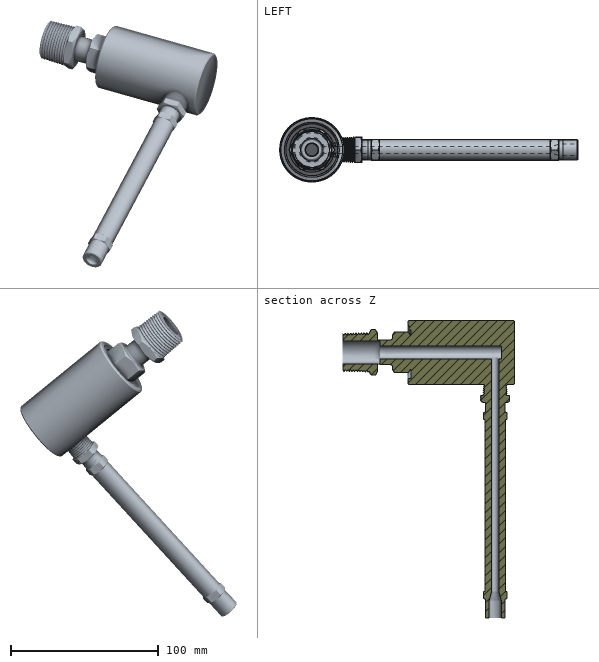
import cadquery as cq
import math


body_diameter = 43.7
total_length = 116.67
inlet_length = 44.0
body_length = total_length - inlet_length
body_chamfer = 0.9

recess_diameter = 35.08
recess_mouth_diameter = 37.25
recess_depth = 2.0
ring_thickness = 1.2
ring_inner_diameter = 30.2
ring_gap = 4.4
lug_radius = 2.0
lug_hole_diameter = 1.98
lug_y = -15.4
lug_z = 3.85

inlet_thread_length = 17.8
inlet_hex_end = 23.7
neck_end = 33.6
inlet_thread_diameter = 27.5
inlet_thread_pitch = 1.814
inlet_hex_flats = 27.0
neck_diameter = 17.0
neck_fillet = 1.4
shaft_hex_flats = 24.0
inlet_counterbore_diameter = 15.31
inlet_counterbore_depth = 25.0
inlet_bore_diameter = 8.5
inlet_bore_chamfer = 0.35

branch_x = 59.4
total_width = 202.19
branch_end = total_width - body_diameter / 2
branch_start = 18.0
branch_hex_start = 29.1
branch_hex_end = 34.0
upper_seam = 38.2
upper_tube_hex_start = 40.2
upper_tube_hex_end = 45.9
lower_tube_hex_start = 161.6
lower_tube_hex_end = 167.4
lower_seam = 170.2
branch_thread_diameter = 17.1
branch_thread_pitch = 1.411
branch_hex_flats = 17.3
stub_diameter = 13.72
stub_thread_diameter = 13.89
stub_chamfer = 0.5
tube_diameter = 14.3
tube_hex_flats = 14.3
branch_mouth_diameter = 8.0
branch_mouth_depth = 12.0
branch_cone_length = 6.0
branch_bore_diameter = 4.7

hex_chamfer_angle = 30.0
hex_face_ratio = 0.97

thread_taper_angle = math.degrees(math.atan(1 / 32))
thread_depth_ratio = 0.7
thread_root_overlap = 0.1
thread_half_width_ratio = 0.46

to_x_axis = cq.Plane(origin=(-inlet_length, 0, 0), xDir=(0, 1, 0), normal=(1, 0, 0))
to_branch_axis = cq.Plane(origin=(branch_x, 0, 0), xDir=(1, 0, 0), normal=(0, -1, 0))


def cylinder(diameter, start, end):
    """Cylinder on the Z axis between two heights."""
    return cq.Workplane("XY").workplane(offset=start).circle(diameter / 2).extrude(end - start)


def cone(start_diameter, end_diameter, start, end):
    """Truncated cone on the Z axis between two heights."""
    solid = cq.Solid.makeCone(start_diameter / 2, end_diameter / 2, end - start, pnt=cq.Vector(0, 0, start))
    return cq.Workplane(obj=solid)


def hexagon(flats, start, end, chamfer_start=True):
    """Hexagonal prism on the Z axis, corners on local X, with its corners turned off at the ends."""
    corner_radius = flats / math.sqrt(3)
    face_radius = hex_face_ratio * flats / 2
    chamfer_height = (corner_radius - face_radius) * math.tan(math.radians(hex_chamfer_angle))
    prism = cq.Workplane("XY").workplane(offset=start).polygon(6, 2 * corner_radius).extrude(end - start)
    start_radius = face_radius if chamfer_start else corner_radius
    envelope = (
        cq.Workplane("XZ")
        .moveTo(0, start)
        .lineTo(start_radius, start)
        .lineTo(corner_radius, start + chamfer_height)
        .lineTo(corner_radius, end - chamfer_height)
        .lineTo(face_radius, end)
        .lineTo(0, end)
        .close()
        .revolve(360, (0, 0, 0), (0, 1, 0))
    )
    return prism.intersect(envelope)


def taper_thread(large_diameter, pitch, start, end):
    """External taper thread on the Z axis, growing from start to the large diameter at end."""
    depth = thread_depth_ratio * pitch
    helix_start = start - pitch
    helix_height = end - start + 2 * pitch
    slope = math.tan(math.radians(thread_taper_angle))

    def root_radius(height):
        return large_diameter / 2 - depth - (end - height) * slope

    helix = cq.Wire.makeHelix(
        pitch, helix_height, root_radius(helix_start), cq.Vector(0, 0, helix_start), angle=thread_taper_angle
    )
    base = root_radius(helix_start) - thread_root_overlap
    half_width = thread_half_width_ratio * pitch
    ridge = (
        cq.Workplane("XZ")
        .moveTo(base, helix_start - half_width)
        .lineTo(base + thread_root_overlap + depth, helix_start)
        .lineTo(base, helix_start + half_width)
        .close()
        .sweep(cq.Workplane(obj=helix), isFrenet=True)
    )
    core_start = helix_start - 2 * pitch
    core_end = end + 3 * pitch
    core = cone(2 * root_radius(core_start), 2 * root_radius(core_end), core_start, core_end)
    return core.union(ridge).intersect(cylinder(2 * large_diameter, start, end))


def make_body():
    body = cq.Workplane("YZ").circle(body_diameter / 2).extrude(body_length).edges().chamfer(body_chamfer)
    recess = cq.Workplane("YZ").circle(recess_diameter / 2).extrude(recess_depth)
    mouth_depth = (recess_mouth_diameter - recess_diameter) / 2
    mouth = cq.Solid.makeCone(
        recess_mouth_diameter / 2, recess_diameter / 2, mouth_depth, dir=cq.Vector(1, 0, 0)
    )
    return body.cut(recess).cut(cq.Workplane(obj=mouth))


def make_retaining_ring():
    plane = cq.Workplane("YZ").workplane(offset=recess_depth - ring_thickness)
    lug_centres = [(lug_y, lug_z), (lug_y, -lug_z)]
    ring = plane.circle(recess_diameter / 2).circle(ring_inner_diameter / 2).extrude(ring_thickness)
    gap = plane.center(-recess_diameter / 2, 0).rect(recess_diameter / 2, ring_gap).extrude(ring_thickness)
    lugs = plane.pushPoints(lug_centres).circle(lug_radius).extrude(ring_thickness)
    holes = plane.pushPoints(lug_centres).circle(lug_hole_diameter / 2).extrude(ring_thickness)
    return ring.union(lugs).cut(gap).cut(holes)


def make_inlet():
    shaft_end = inlet_length + recess_depth
    neck_radius = neck_diameter / 2
    neck = (
        cq.Workplane("XZ")
        .moveTo(0, inlet_hex_end)
        .lineTo(neck_radius, inlet_hex_end)
        .lineTo(neck_radius, neck_end - neck_fillet)
        .radiusArc((neck_radius + neck_fillet, neck_end), neck_fillet)
        .lineTo(0, neck_end)
        .close()
        .revolve(360, (0, 0, 0), (0, 1, 0))
    )
    return (
        taper_thread(inlet_thread_diameter, inlet_thread_pitch, 0, inlet_thread_length)
        .union(hexagon(inlet_hex_flats, inlet_thread_length, inlet_hex_end))
        .union(neck)
        .union(hexagon(shaft_hex_flats, neck_end, shaft_end))
    )


def make_branch():
    return (
        taper_thread(branch_thread_diameter, branch_thread_pitch, branch_start, branch_hex_start)
        .union(hexagon(branch_hex_flats, branch_hex_start, branch_hex_end, chamfer_start=False))
        .union(cylinder(stub_diameter, branch_hex_end, upper_seam))
        .union(cylinder(stub_thread_diameter, upper_seam, upper_tube_hex_start))
        .union(hexagon(tube_hex_flats, upper_tube_hex_start, upper_tube_hex_end))
        .union(cylinder(tube_diameter, upper_tube_hex_end, lower_tube_hex_start))
        .union(hexagon(tube_hex_flats, lower_tube_hex_start, lower_tube_hex_end))
        .union(cylinder(stub_diameter, lower_tube_hex_end, lower_seam))
        .union(cylinder(stub_thread_diameter, lower_seam, branch_end).faces(">Z").edges().chamfer(stub_chamfer))
    )


def place(workplane, plane):
    """Move a shape built on the Z axis onto the given plane's normal."""
    return cq.Workplane(obj=workplane.val().moved(cq.Location(plane)))


def make_inlet_bore():
    bore_end = inlet_length + branch_x + inlet_bore_diameter / 2
    bore_start = inlet_counterbore_depth
    entry_diameter = inlet_bore_diameter + 2 * inlet_bore_chamfer
    return (
        cylinder(inlet_counterbore_diameter, 0, bore_start)
        .union(cone(entry_diameter, inlet_bore_diameter, bore_start, bore_start + inlet_bore_chamfer))
        .union(cylinder(inlet_bore_diameter, bore_start, bore_end))
    )


def make_branch_bore():
    cone_start = branch_end - branch_mouth_depth
    cone_end = cone_start - branch_cone_length
    return (
        cylinder(branch_bore_diameter, 0, cone_end)
        .union(cone(branch_bore_diameter, branch_mouth_diameter, cone_end, cone_start))
        .union(cylinder(branch_mouth_diameter, cone_start, branch_end))
    )


result = (
    make_body()
    .union(make_retaining_ring())
    .union(place(make_inlet(), to_x_axis))
    .union(place(make_branch(), to_branch_axis))
    .cut(place(make_inlet_bore(), to_x_axis))
    .cut(place(make_branch_bore(), to_branch_axis))
    .solids()
)